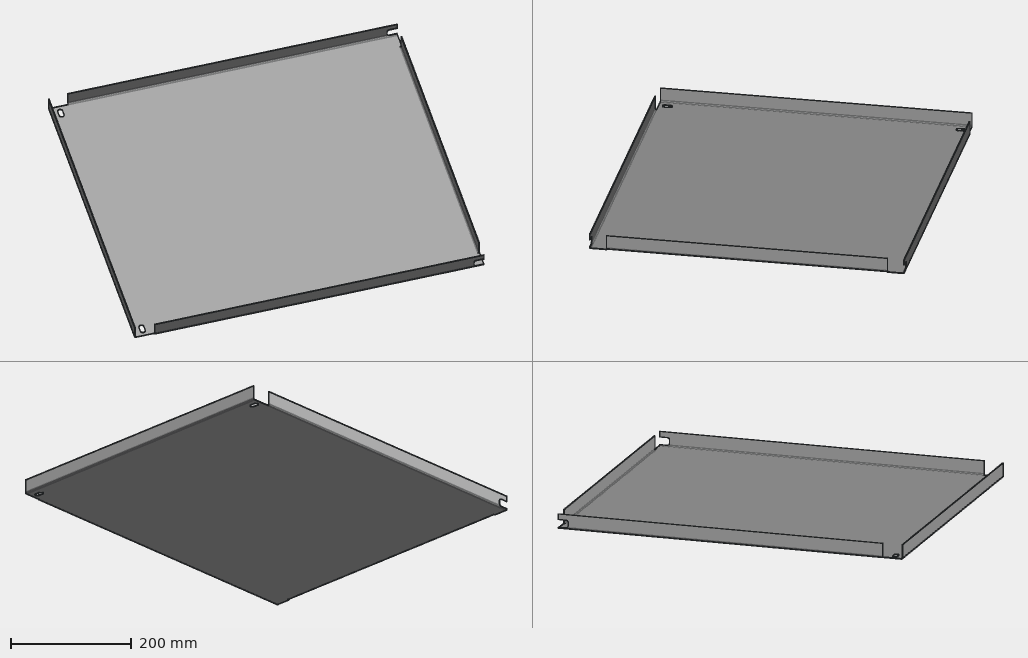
import cadquery as cq

width = 531.0
length = 600.0
height = 25.0

thickness = 1.5
inner_radius = 1.5
outer_radius = inner_radius + thickness

side_flange_setback = 34.0
back_flange_setback = 29.0

notch_depth = 17.5
notch_height = 13.0
notch_center_z = 9.0
notch_corner_radius = 4.0

slot_length = 17.0
slot_width = 8.5
slot_side_inset = 18.0
slot_front_inset = 17.5

floor_width = width - 2 * outer_radius
floor_length = length - 2 * outer_radius
side_flange_length = length - side_flange_setback
back_flange_length = width - 2 * back_flange_setback


def bent_flange(run):
    """Bend and upright wall along +Y, starting from a bend line on the X axis and rising in +Z."""
    return (
        cq.Workplane("YZ")
        .moveTo(0, 0)
        .radiusArc((outer_radius, outer_radius), -outer_radius)
        .lineTo(outer_radius, height)
        .lineTo(inner_radius, height)
        .lineTo(inner_radius, outer_radius)
        .radiusArc((0, thickness), inner_radius)
        .close()
        .extrude(run / 2, both=True)
    )


tray = cq.Workplane("XY").box(floor_width, floor_length, thickness, centered=(True, True, False))

tab_width = back_flange_setback - outer_radius
tab_x = (floor_width - tab_width) / 2
tab_y = (floor_length + outer_radius) / 2
tabs = (
    cq.Workplane("XY")
    .pushPoints([(-tab_x, tab_y), (tab_x, tab_y)])
    .rect(tab_width, outer_radius)
    .extrude(thickness)
)
tray = tray.union(tabs)

back_flange = bent_flange(back_flange_length).translate((0, floor_length / 2, 0))
front_flange = (
    bent_flange(floor_width)
    .rotate((0, 0, 0), (0, 0, 1), 180)
    .translate((0, -floor_length / 2, 0))
)
tray = tray.union(back_flange).union(front_flange)

side_flange_center_y = side_flange_setback / 2
left_flange = (
    bent_flange(side_flange_length)
    .rotate((0, 0, 0), (0, 0, 1), 90)
    .translate((-floor_width / 2, side_flange_center_y, 0))
)
tray = tray.union(left_flange).union(left_flange.mirror("YZ"))

notch = (
    cq.Workplane("XY")
    .box(outer_radius, notch_depth, notch_height, centered=(False, True, True))
    .edges("|X and <Y")
    .fillet(notch_corner_radius)
    .translate((0, (length - notch_depth) / 2, notch_center_z))
)
for bend_start_x in (-width / 2, floor_width / 2):
    tray = tray.cut(notch.translate((bend_start_x, 0, 0)))

slot_x = width / 2 - slot_side_inset
slot_y = -length / 2 + slot_front_inset
slots = (
    cq.Workplane("XY")
    .pushPoints([(-slot_x, slot_y), (slot_x, slot_y)])
    .slot2D(slot_length, slot_width)
    .extrude(thickness)
)
result = tray.cut(slots)